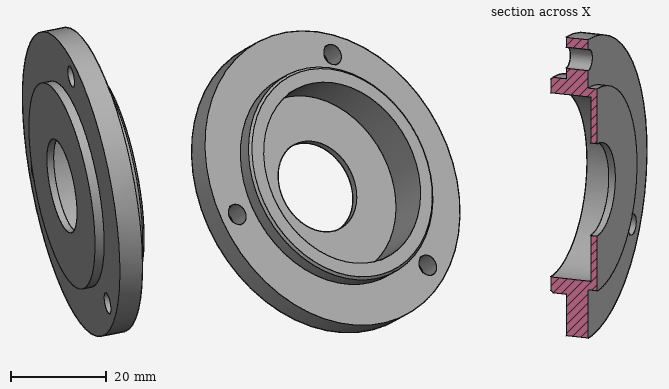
import cadquery as cq
import math

flange_diameter = 65.0
flange_thickness = 5.0
front_boss_diameter = 44.0
front_boss_height = 2.0
back_spigot_diameter = 47.0
back_spigot_height = 3.5
spigot_chamfer = 0.5
bore_diameter = 20.0
front_wall_thickness = 1.5
recess_diameter = 40.0
bolt_hole_diameter = 4.5
bolt_circle_radius = 28.0
bolt_count = 3
first_bolt_angle = 90.0

total_depth = front_boss_height + flange_thickness + back_spigot_height
flange_front = -flange_thickness / 2
flange_back = flange_thickness / 2
part_front = flange_front - front_boss_height


def disc(diameter, start_y, length, x=0.0, z=0.0):
    """Cylinder along +Y, starting at start_y and centred on (x, z)."""
    return cq.Workplane(
        cq.Solid.makeCylinder(diameter / 2, length, cq.Vector(x, start_y, z), cq.Vector(0, 1, 0))
    )


flange = disc(flange_diameter, flange_front, flange_thickness)
front_boss = disc(front_boss_diameter, part_front, front_boss_height)
back_spigot = disc(back_spigot_diameter, flange_back, back_spigot_height)
back_spigot = back_spigot.faces(">Y").chamfer(spigot_chamfer)
body = flange.union(front_boss).union(back_spigot)

body = body.cut(disc(bore_diameter, part_front, total_depth))

recess_depth = total_depth - front_wall_thickness
body = body.cut(disc(recess_diameter, part_front + front_wall_thickness, recess_depth))

for index in range(bolt_count):
    angle = math.radians(first_bolt_angle + index * 360.0 / bolt_count)
    hole_x = bolt_circle_radius * math.cos(angle)
    hole_z = bolt_circle_radius * math.sin(angle)
    body = body.cut(disc(bolt_hole_diameter, flange_front, flange_thickness, hole_x, hole_z))

result = body